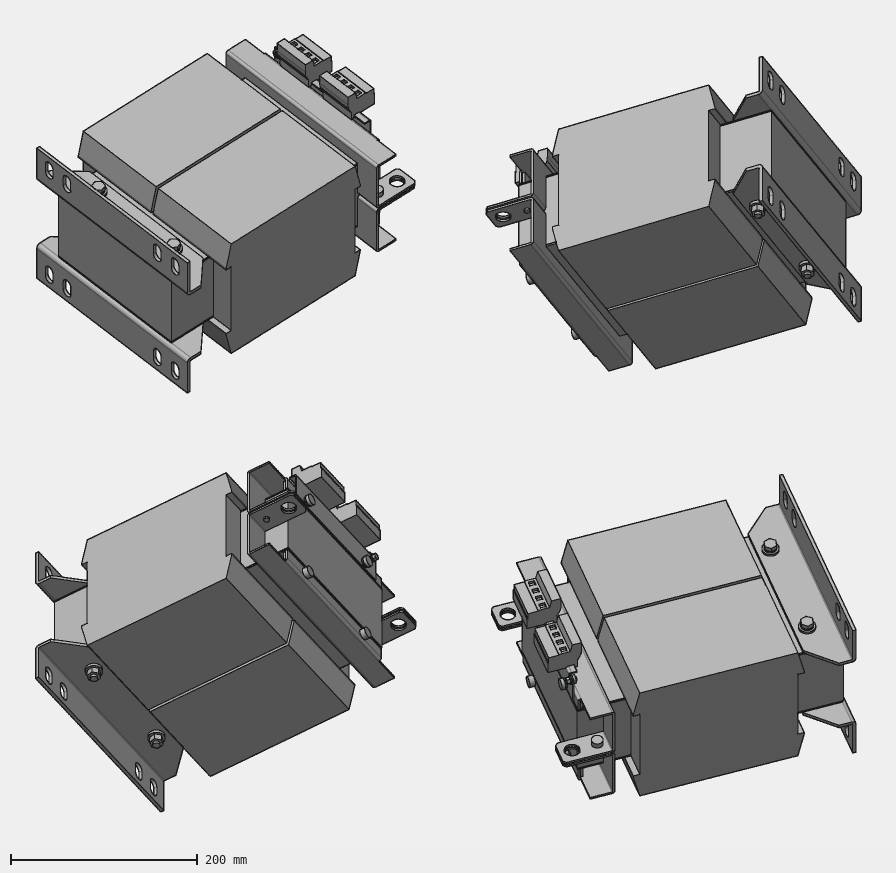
import cadquery as cq


core_width = 180.0
core_length = 301.5
core_height = 90.0
core_front = 4.0
yoke_width = 61.2
leg_width = core_width / 3
core_rear = core_front + core_length
core_top = core_height / 2
core_side = core_width / 2

strip_thickness = 2.0
strip_inset = 0.5
strip_top = core_top + strip_thickness

coil_gap = 3.3
coil_outer_x = 118.0
coil_top = 81.0
coil_front = core_front + yoke_width
coil_rear = core_rear - yoke_width
flare = 7.3
flare_edge = 2.3

bracket_width = 240.0
bracket_top = 96.3
bracket_thickness = 4.0
bracket_depth = 49.5
bracket_end_depth = 19.5
bracket_bend = 5.0
shelf_top = strip_top + bracket_thickness
slot_length = 23.0
slot_width = 12.0
slot_z = 77.0
slot_places = (71.8, 100.3)

bolt_x = 60.0
bolt_y = 34.8
bolt_diameter = 8.0
bolt_tip_z = -65.5
hex_corners = 15.0
washer_diameter = 18.5
washer_thickness = 2.5
nut_washer_thickness = 3.5
spring_ring_diameter = 14.0
spring_ring_thickness = 2.0
head_height = 5.3
nut_height = 7.5
head_turn = -11
nut_turn = 18

channel_thickness = 2.5
channel_bend = 3.3
channel_front = 273.0
channel_rear = 304.5
channel_top = 64.0
channel_bottom = 1.0
flange_end = channel_rear - channel_bend
backing_strip_front = 298.5
backing_strip_inset = 1.5
lug_rear = 331.0
lug_chamfer = 3.0
lug_hole_diameter = 17.0
lug_hole_y = 316.5
lug_x = (core_side + bracket_width / 2) / 2
lug_width = bracket_width / 2 - core_side

screw_head_diameter = 12.5
screw_diameter = 6.3
lug_screw_y = 288.0
lug_screw_top = 10.0
lug_screw_tip = -6.0
lip_screw_x = 55.0
lip_screw_z = 54.5
upper_screw_head = 312.5
upper_screw_neck = 308.0
upper_screw_tip = 296.0
lower_screw_head = 310.8
lower_screw_tip = 293.3
neck_diameter = 10.5

rail_left = -65.2
rail_right = 74.8
rail_ear = -77.0
rail_thickness = 1.5
rail_bend = 3.0
rail_rear = channel_rear + rail_thickness
rail_front = 297.0
rail_top = 80.5
rail_bottom = strip_top

earth_x = -71.0
earth_z = 75.8
earth_head_corners = 8.0
earth_washer_diameter = 9.3
earth_screw_diameter = 4.5
earth_head_rear = 311.0
earth_washer_rear = 307.5
earth_washer_front = 301.2
earth_tip = 300.0

terminal_lefts = (-55.3, 12.5)
terminal_width = 45.5
openings_per_block = 4
opening_width = 5.5
opening_length = 6.5
opening_y = 307.2
opening_depth = 3.3
terminal_step_z = 102.5
terminal_top = 112.2
terminal_profile = [
    (326.7, 78.5),
    (326.7, 93.5),
    (325.7, 93.5),
    (325.7, 101.3),
    (314.0, 101.5),
    (314.0, terminal_step_z),
    (301.2, terminal_step_z),
    (299.0, terminal_top),
    (288.3, terminal_top),
    (288.3, 101.3),
    (288.5, 95.3),
    (293.0, 86.5),
    (293.0, 76.0),
    (296.2, 76.0),
    (298.5, 78.5),
]


def span_box(x0, x1, y0, y1, z0, z1):
    """Box between two opposite corners."""
    return cq.Workplane("XY").box(x1 - x0, y1 - y0, z1 - z0, centered=False).translate((x0, y0, z0))


def wide_box(width, y0, y1, z0, z1):
    """Box centred on X = 0."""
    return span_box(-width / 2, width / 2, y0, y1, z0, z1)


def x_prism(profile, x0, x1):
    """Y-Z outline pulled along X."""
    return cq.Workplane("YZ").polyline(profile).close().extrude(x1 - x0).translate((x0, 0, 0))


def upright_disc(diameter, x, y, z0, z1):
    return cq.Workplane("XY").circle(diameter / 2).extrude(z1 - z0).translate((x, y, z0))


def upright_hex(corners, turn, x, y, z0, z1):
    prism = cq.Workplane("XY").polygon(6, corners).extrude(z1 - z0)
    return prism.rotate((0, 0, 0), (0, 0, 1), turn).translate((x, y, z0))


def lying_disc(diameter, x, z, y0, y1):
    return cq.Workplane("XZ").circle(diameter / 2).extrude(y0 - y1).translate((x, y0, z))


def both_heights(body):
    """Add the copy mirrored below the middle plane."""
    return body.union(body.mirror("XY"))


def core():
    frame = wide_box(core_width, core_front, core_rear, -core_top, core_top)
    window = wide_box(core_width - 2 * leg_width, coil_front, coil_rear, -core_top, core_top)
    strip_width = core_width - 2 * strip_inset
    strips = wide_box(strip_width, core_front + strip_inset, coil_front, -strip_top, strip_top)
    strips = strips.union(wide_box(strip_width, coil_rear, core_rear - strip_inset, -strip_top, strip_top))
    return frame.cut(window).union(strips)


def coil():
    """Right-hand coil; above and below the core its ends flare out over the yokes."""
    upper_profile = [
        (coil_front, 0),
        (coil_front, strip_top),
        (coil_front - flare, strip_top),
        (coil_front - flare, strip_top + flare_edge),
        (coil_front, coil_top),
        (coil_rear, coil_top),
        (coil_rear + flare, strip_top + flare_edge),
        (coil_rear + flare, strip_top),
        (coil_rear, strip_top),
        (coil_rear, 0),
    ]
    return both_heights(x_prism(upper_profile, coil_gap / 2, coil_outer_x))


def front_bracket():
    """Upper angle bracket: a slotted foot and a shelf with tapered ends."""
    angle = wide_box(bracket_width, 0, bracket_depth, strip_top, bracket_top)
    angle = angle.edges("|X and <Y and <Z").fillet(bracket_bend)
    hollow = wide_box(bracket_width, bracket_thickness, bracket_depth, shelf_top, bracket_top)
    hollow = hollow.edges("|X and <Y and <Z").fillet(bracket_bend - bracket_thickness)
    half_width = bracket_width / 2
    shelf_outline = [
        (-half_width, 0),
        (half_width, 0),
        (half_width, bracket_end_depth),
        (core_side, bracket_depth),
        (-core_side, bracket_depth),
        (-half_width, bracket_end_depth),
    ]
    outline = cq.Workplane("XY").polyline(shelf_outline).close().extrude(bracket_top)
    slot_points = [(side * place, slot_z) for side in (-1, 1) for place in slot_places]
    slots = (
        cq.Workplane("XZ")
        .pushPoints(slot_points)
        .slot2D(slot_length, slot_width, 90)
        .extrude(-bracket_thickness)
    )
    return angle.cut(hollow).intersect(outline).cut(slots)


def clamping_bolt(x):
    ring_bottom = shelf_top + washer_thickness
    head_bottom = ring_bottom + spring_ring_thickness
    nut_top = -shelf_top - nut_washer_thickness
    bolt = upright_disc(bolt_diameter, x, bolt_y, bolt_tip_z, head_bottom)
    bolt = bolt.union(upright_disc(washer_diameter, x, bolt_y, shelf_top, ring_bottom))
    bolt = bolt.union(upright_disc(spring_ring_diameter, x, bolt_y, ring_bottom, head_bottom))
    bolt = bolt.union(upright_hex(hex_corners, head_turn, x, bolt_y, head_bottom, head_bottom + head_height))
    bolt = bolt.union(upright_disc(washer_diameter, x, bolt_y, nut_top, -shelf_top))
    return bolt.union(upright_hex(hex_corners, nut_turn, x, bolt_y, nut_top - nut_height, nut_top))


def rear_channel():
    """Upper bent-sheet channel with a rear lip over the core and a lug at each end."""
    sheet = wide_box(bracket_width, channel_front, channel_rear, channel_bottom, channel_top)
    sheet = sheet.edges("|X").fillet(channel_bend)
    hollow = wide_box(
        bracket_width,
        channel_front + channel_thickness,
        channel_rear - channel_thickness,
        channel_bottom + channel_thickness,
        channel_top - channel_thickness,
    )
    hollow = hollow.edges("|X").fillet(channel_bend - channel_thickness)
    sheet = sheet.cut(hollow)
    sheet = sheet.cut(wide_box(core_width, channel_front + channel_bend, channel_rear, 0, strip_top))
    backing = wide_box(
        core_width - 2 * backing_strip_inset,
        backing_strip_front,
        channel_rear - channel_thickness,
        strip_top,
        channel_top - channel_thickness,
    )
    sheet = sheet.union(backing)
    for side in (-1, 1):
        rear_trim = wide_box(lug_width, flange_end, channel_rear, channel_bottom, channel_top)
        sheet = sheet.cut(rear_trim.translate((side * lug_x, 0, 0)))
        sheet = sheet.union(lug().translate((side * lug_x, 0, 0)))
    return sheet


def lug():
    plate_top = channel_bottom + channel_thickness
    plate = wide_box(lug_width, channel_front + channel_bend, lug_rear, channel_bottom, plate_top)
    plate = plate.edges("|Z and >Y").chamfer(lug_chamfer)
    return plate.cut(upright_disc(lug_hole_diameter, 0, lug_hole_y, channel_bottom, plate_top))


def lug_screw(x):
    head_bottom = channel_bottom + channel_thickness
    shank = upright_disc(screw_diameter, x, lug_screw_y, lug_screw_tip, head_bottom)
    return shank.union(upright_disc(screw_head_diameter, x, lug_screw_y, head_bottom, lug_screw_top))


def lip_screws(x):
    """The upper screw holds the rail on a neck; the lower one sits directly on the lip."""
    upper = lying_disc(screw_diameter, x, lip_screw_z, upper_screw_tip, upper_screw_neck)
    upper = upper.union(lying_disc(neck_diameter, x, lip_screw_z, rail_rear, upper_screw_neck))
    upper = upper.union(lying_disc(screw_head_diameter, x, lip_screw_z, upper_screw_neck, upper_screw_head))
    lower = lying_disc(screw_diameter, x, -lip_screw_z, lower_screw_tip, channel_rear)
    lower = lower.union(lying_disc(screw_head_diameter, x, -lip_screw_z, channel_rear, lower_screw_head))
    return upper.union(lower)


def terminal_rail():
    """Thin angle standing on the upper lip, with an ear for the earth screw."""
    angle = span_box(rail_left, rail_right, rail_front, rail_rear, rail_bottom, rail_top)
    angle = angle.edges("|X and >Y and >Z").fillet(rail_bend)
    hollow_top = rail_top - rail_thickness
    hollow = span_box(rail_left, rail_right, rail_front, channel_rear, rail_bottom, hollow_top)
    hollow = hollow.edges("|X and >Y and >Z").fillet(rail_bend - rail_thickness)
    ear = span_box(rail_ear, rail_left, channel_rear, rail_rear, rail_bottom, rail_top)
    return angle.cut(hollow).union(ear)


def earth_screw():
    screw = lying_disc(earth_screw_diameter, earth_x, earth_z, earth_tip, earth_washer_rear)
    screw = screw.union(
        lying_disc(earth_washer_diameter, earth_x, earth_z, earth_washer_front, earth_washer_rear)
    )
    head = cq.Workplane("XZ").polygon(6, earth_head_corners).extrude(earth_washer_rear - earth_head_rear)
    return screw.union(head.translate((earth_x, earth_washer_rear, earth_z)))


def terminal_block(left):
    block = x_prism(terminal_profile, left, left + terminal_width)
    pitch = terminal_width / openings_per_block
    for index in range(openings_per_block):
        opening = cq.Workplane("XY").box(opening_width, opening_length, 2 * opening_depth)
        block = block.cut(opening.translate((left + (index + 0.5) * pitch, opening_y, terminal_step_z)))
    return block


right_coil = coil()
result = core().union(right_coil).union(right_coil.mirror("YZ"))
result = result.union(both_heights(front_bracket())).union(both_heights(rear_channel()))
for side in (-1, 1):
    result = result.union(clamping_bolt(side * bolt_x))
    result = result.union(lug_screw(side * lug_x))
    result = result.union(lip_screws(side * lip_screw_x))
result = result.union(terminal_rail()).union(earth_screw())
for terminal_left in terminal_lefts:
    result = result.union(terminal_block(terminal_left))